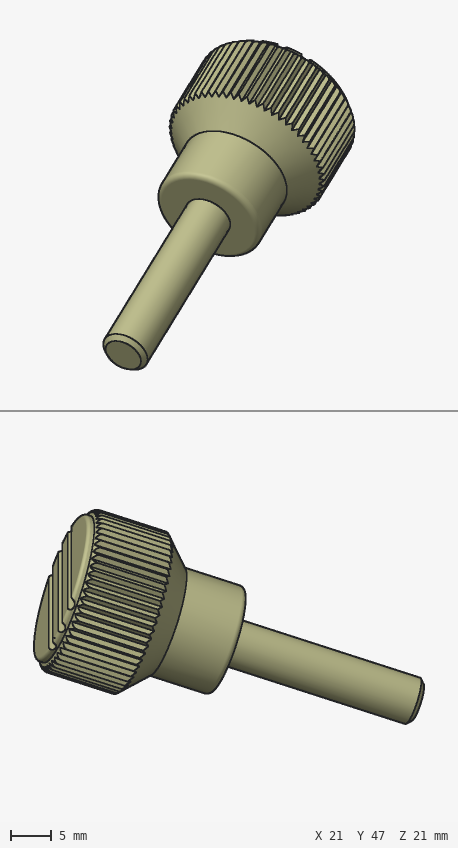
import cadquery as cq
import math

overall_length = 47.0
grip_end_y = overall_length / 2
pin_end_y = -overall_length / 2

head_diameter = 21.0
head_edge_radius = 0.95
tooth_count = 60
tooth_depth = 0.5

cap_diameter = 19.0
cap_thickness = 0.9
cap_rim_radius = 0.45

hub_diameter = 14.0
hub_start_depth = 14.0
hub_end_depth = 22.0
hub_edge_radius = 0.7

pin_diameter = 6.0
pin_chamfer = 0.6

groove_count = 3
groove_pitch = 3.25
groove_radius = 0.65

head_radius = head_diameter / 2
cap_radius = cap_diameter / 2
hub_radius = hub_diameter / 2
pin_radius = pin_diameter / 2
head_face_y = grip_end_y - cap_thickness
hub_start_y = grip_end_y - hub_start_depth
hub_end_y = grip_end_y - hub_end_depth
cone_start_y = hub_start_y + head_radius - hub_radius


def quarter_round_middle(center_x, center_y, radius, side):
    """Midpoint of a convex quarter round facing outwards; side is +1 towards +Y, -1 towards -Y."""
    offset = radius * math.sqrt(0.5)
    return center_x + offset, center_y + side * offset


def turned_body():
    """Revolve the complete half profile about the Y axis."""
    cap_edge_x = cap_radius - cap_rim_radius
    cap_edge_y = grip_end_y - cap_rim_radius
    head_edge_x = head_radius - head_edge_radius
    head_edge_y = head_face_y - head_edge_radius
    hub_edge_x = hub_radius - hub_edge_radius
    hub_edge_y = hub_end_y + hub_edge_radius
    profile = (
        cq.Workplane("XY")
        .moveTo(0, grip_end_y)
        .lineTo(cap_edge_x, grip_end_y)
        .threePointArc(
            quarter_round_middle(cap_edge_x, cap_edge_y, cap_rim_radius, 1),
            (cap_radius, cap_edge_y),
        )
        .lineTo(cap_radius, head_face_y)
        .lineTo(head_edge_x, head_face_y)
        .threePointArc(
            quarter_round_middle(head_edge_x, head_edge_y, head_edge_radius, 1),
            (head_radius, head_edge_y),
        )
        .lineTo(head_radius, cone_start_y)
        .lineTo(hub_radius, hub_start_y)
        .lineTo(hub_radius, hub_edge_y)
        .threePointArc(
            quarter_round_middle(hub_edge_x, hub_edge_y, hub_edge_radius, -1),
            (hub_edge_x, hub_end_y),
        )
        .lineTo(pin_radius, hub_end_y)
        .lineTo(pin_radius, pin_end_y + pin_chamfer)
        .lineTo(pin_radius - pin_chamfer, pin_end_y)
        .lineTo(0, pin_end_y)
        .close()
    )
    return profile.revolve(360, (0, 0, 0), (0, 1, 0))


def knurl_cutter():
    """Ring around the head whose inner wall is the toothed outline, with crests on the X and Z axes."""
    half_pitch = math.pi / tooth_count
    outline = []
    for index in range(2 * tooth_count):
        radius = head_radius if index % 2 == 0 else head_radius - tooth_depth
        angle = index * half_pitch
        outline.append((radius * math.cos(angle), radius * math.sin(angle)))
    ring_radius = head_radius + tooth_depth
    ring_length = head_face_y - hub_start_y
    return (
        cq.Workplane("XZ", origin=(0, head_face_y, 0))
        .circle(ring_radius)
        .polyline(outline)
        .close()
        .extrude(ring_length)
    )


def cap_grooves():
    """Parallel grooves running along Z, centred on the cap face."""
    first_x = -groove_pitch * (groove_count - 1) / 2
    centers = [(first_x + index * groove_pitch, grip_end_y) for index in range(groove_count)]
    return cq.Workplane("XY").pushPoints(centers).circle(groove_radius).extrude(cap_radius, both=True)


result = turned_body().cut(knurl_cutter()).cut(cap_grooves())